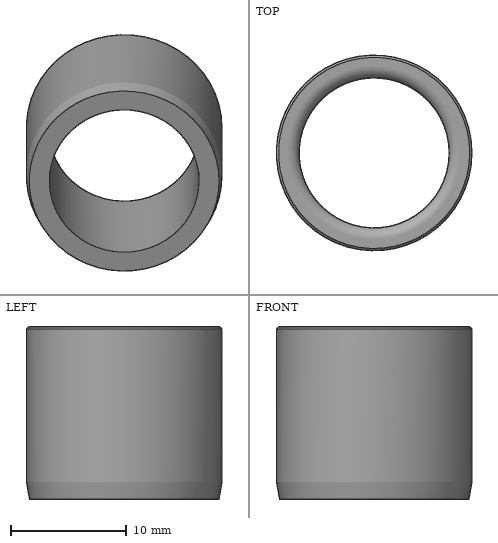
import cadquery as cq
import math

outer_diameter = 17.0
bore_diameter = 13.0
height = 15.0
mouth_radius = 1.0
rim_chamfer = 0.2
lead_in_height = 1.5
lead_in_angle = 10.0

outer_radius = outer_diameter / 2
bore_radius = bore_diameter / 2
lead_in_radius = outer_radius - lead_in_height * math.tan(math.radians(lead_in_angle))


def bushing_profile():
    """Half section in the XZ plane: sketch x is the radius, sketch y the height."""
    mouth_start = (bore_radius, height - mouth_radius)
    mouth_middle = (
        bore_radius + mouth_radius * (1 - math.cos(math.pi / 4)),
        height - mouth_radius * (1 - math.sin(math.pi / 4)),
    )
    mouth_end = (bore_radius + mouth_radius, height)
    return (
        cq.Workplane("XZ")
        .moveTo(bore_radius, 0)
        .lineTo(lead_in_radius, 0)
        .lineTo(outer_radius, lead_in_height)
        .lineTo(outer_radius, height - rim_chamfer)
        .lineTo(outer_radius - rim_chamfer, height)
        .lineTo(*mouth_end)
        .threePointArc(mouth_middle, mouth_start)
        .close()
    )


result = bushing_profile().revolve(360, (0, 0), (0, 1))